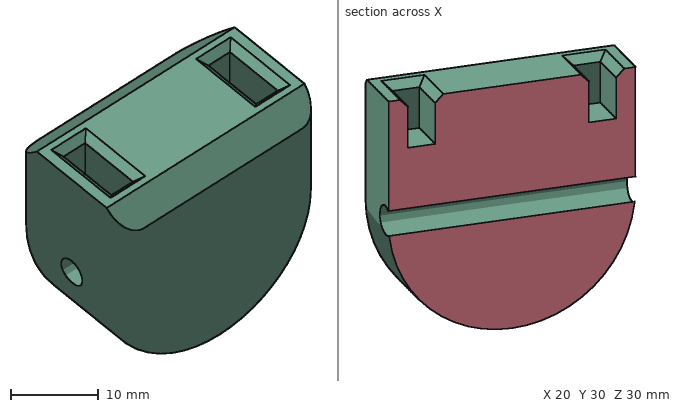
import cadquery as cq

height = 30.0
thickness = height * 2 / 3
end_radius = height / 2

left_edge = height / 6
right_edge = height / 10

feature_x = 1.0
hole_diameter = 3.6

pocket_length = 8.22
pocket_width = 3.27
pocket_flare = 1.0
flare_angle = 45
pocket_depth = 6.0
pocket_offset = 10.98


def make_body():
    """U-shaped block with a flat top, rounded around both end faces."""
    block = (
        cq.Workplane("YZ", origin=(-thickness / 2, 0, 0))
        .moveTo(-end_radius, height)
        .lineTo(-end_radius, end_radius)
        .threePointArc((0, 0), (end_radius, end_radius))
        .lineTo(end_radius, height)
        .close()
        .extrude(thickness)
    )
    rounded = block.edges("(<X) and (not (>Z))").fillet(left_edge)
    return rounded.edges("(>X) and (not (>Z))").fillet(right_edge)


def bevel_cutter(side, size):
    """Triangular prism that bevels the top edge on one side (-1 left, +1 right)."""
    outer_x = side * thickness / 2
    return (
        cq.Workplane("XZ")
        .polyline([(outer_x, height), (outer_x, height - size), (outer_x - side * size, height)])
        .close()
        .extrude(end_radius, both=True)
    )


def pocket_cutter(y):
    """Blind rectangular pocket whose mouth flares out at the flare angle."""
    throat = (
        cq.Workplane("XY", origin=(feature_x, y, height - pocket_depth))
        .rect(pocket_length, pocket_width)
        .extrude(pocket_depth)
    )
    mouth = (
        cq.Workplane("XY", origin=(feature_x, y, height))
        .rect(pocket_length + 2 * pocket_flare, pocket_width + 2 * pocket_flare)
        .extrude(-pocket_flare, taper=flare_angle)
    )
    return throat.union(mouth)


def cross_hole_cutter():
    """Round hole running through the whole part along Y."""
    return (
        cq.Workplane("XZ", origin=(feature_x, 0, end_radius))
        .circle(hole_diameter / 2)
        .extrude(end_radius, both=True)
    )


result = make_body()
result = result.cut(bevel_cutter(-1, left_edge))
result = result.cut(bevel_cutter(1, right_edge))
for pocket_y in (-pocket_offset, pocket_offset):
    result = result.cut(pocket_cutter(pocket_y))
result = result.cut(cross_hole_cutter())